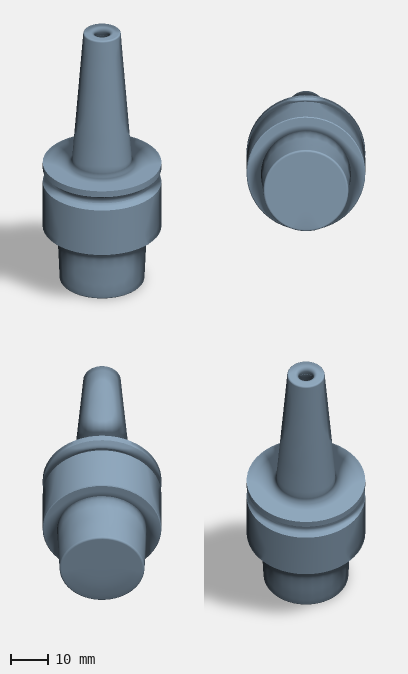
import cadquery as cq
import math

TOTAL_HEIGHT = 75.9
SHANK_TOP = 15.2
BODY_BOTTOM = 15.95
BODY_TOP = 29.9
FLANGE_BOTTOM = 34.0
FLANGE_TOP = 35.8

SHANK_TOP_RADIUS = 12.1
SHANK_BOTTOM_RADIUS = 11.4
SHANK_EDGE_RADIUS = 0.5

BODY_RADIUS = 15.95
BODY_EDGE_CHAMFER = 0.2
GROOVE_RADIUS = 13.2
GROOVE_WALL_ANGLE = 30.0
GROOVE_FILLET = 0.7
SLOT_MOUTH_RADIUS = 14.0

NOSE_BASE_RADIUS = 8.1
NOSE_TOP_RADIUS = 5.0
NOSE_EDGE_RADIUS = 0.45
NOSE_ROOT_FILLET = 1.0

ENTRY_RADIUS = 2.05
ENTRY_DEPTH = 2.05
BORE_RADIUS = 2.0
BORE_DEPTH = 9.1
MOUTH_ROUNDING = 1.1

EDGE_TOLERANCE = 0.1


def make_outer_form():
    """Revolve the half outline of the holder around Z."""
    wall_rise = (BODY_RADIUS - SLOT_MOUTH_RADIUS) * math.tan(math.radians(GROOVE_WALL_ANGLE))
    slot_bottom = BODY_TOP + wall_rise
    slot_top = FLANGE_BOTTOM - wall_rise
    outline = [
        (0, 0),
        (SHANK_BOTTOM_RADIUS, 0),
        (SHANK_TOP_RADIUS, SHANK_TOP),
        (SHANK_TOP_RADIUS, BODY_BOTTOM),
        (BODY_RADIUS - BODY_EDGE_CHAMFER, BODY_BOTTOM),
        (BODY_RADIUS, BODY_BOTTOM + BODY_EDGE_CHAMFER),
        (BODY_RADIUS, BODY_TOP),
        (SLOT_MOUTH_RADIUS, slot_bottom),
        (GROOVE_RADIUS, slot_bottom),
        (GROOVE_RADIUS, slot_top),
        (SLOT_MOUTH_RADIUS, slot_top),
        (BODY_RADIUS, FLANGE_BOTTOM),
        (BODY_RADIUS, FLANGE_TOP),
        (NOSE_BASE_RADIUS, FLANGE_TOP),
        (NOSE_TOP_RADIUS, TOTAL_HEIGHT),
        (0, TOTAL_HEIGHT),
    ]
    return cq.Workplane("XZ").polyline(outline).close().revolve(360, (0, 0), (0, 1))


def edges_near(form, radius, level, height_reach=EDGE_TOLERANCE):
    """Select the circular edges up to the given radius that lie near the given level."""
    reach = radius + EDGE_TOLERANCE
    low = (-reach, -reach, level - height_reach)
    high = (reach, reach, level + height_reach)
    return form.edges(cq.selectors.BoxSelector(low, high, boundingbox=True))


def round_edges(form):
    """Round both groove corners, the nose root and the two end rims."""
    groove_middle = (BODY_TOP + FLANGE_BOTTOM) / 2
    groove_reach = (FLANGE_BOTTOM - BODY_TOP) / 4
    form = edges_near(form, GROOVE_RADIUS, groove_middle, groove_reach).fillet(GROOVE_FILLET)
    form = edges_near(form, NOSE_BASE_RADIUS, FLANGE_TOP).fillet(NOSE_ROOT_FILLET)
    form = form.faces(">Z").edges().fillet(NOSE_EDGE_RADIUS)
    return form.faces("<Z").edges().fillet(SHANK_EDGE_RADIUS)


def cut_bore(form):
    """Cut the blind bore and its slightly wider entry, then round the mouth."""
    tip = cq.Workplane("XY").workplane(offset=TOTAL_HEIGHT)
    entry = tip.circle(ENTRY_RADIUS).extrude(-ENTRY_DEPTH)
    bore = tip.circle(BORE_RADIUS).extrude(-BORE_DEPTH)
    form = form.cut(entry).cut(bore)
    return edges_near(form, ENTRY_RADIUS, TOTAL_HEIGHT).fillet(MOUTH_ROUNDING)


result = cut_bore(round_edges(make_outer_form()))